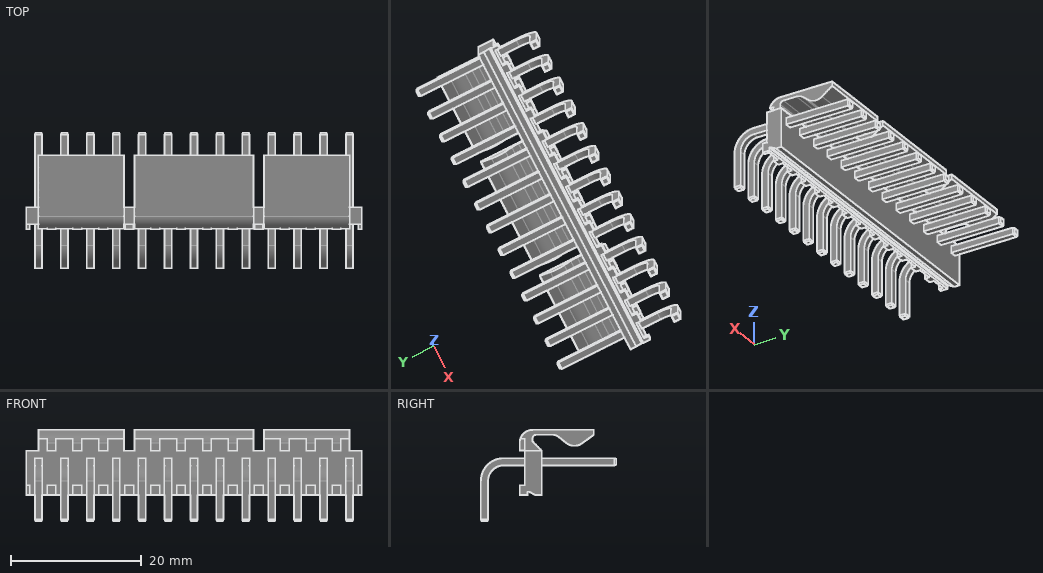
import cadquery as cq


pin_count = 13
pitch = 3.96
end_margin = 1.905
row_span = (pin_count - 1) * pitch
body_length = row_span + 2 * end_margin

wall_depth = 2.63
wall_top = 1.7
wall_bottom = -5.1
notch_front = 0.46
notch_flat = 0.25
notch_back = 1.65
notch_height = 0.5

tab_width = 1.35
tab_depth = 0.77
tab_height = 1.55

arm_top = 4.9
arm_tip = 10.58
arm_thickness = 0.77
tip_thickness = 0.8
latch_gap = 1.55
gap_centre = 2.5 * pitch
neck_depth = 1.24
neck_slope_top = wall_top + wall_depth - neck_depth
neck_inner_radius = 0.55
shoulder_radius = 2.0
shoulder_drop = 1.4
bump_apex_y = 7.54
bump_apex_drop = 2.98
bump_root_y = 4.78
bump_apex_radius = 1.96
bump_root_radius = 1.8

pin_width = 1.14
pin_rear = 14.01
pin_front = -6.7
pin_bottom = -9.08
bend_inner_radius = 2.36
bend_outer_radius = bend_inner_radius + pin_width
point_length = 0.3
point_inset = 0.13

pin_positions = [i * pitch - row_span / 2 for i in range(pin_count)]
tab_positions = [(i - pin_count / 2) * pitch for i in range(pin_count + 1)]
side_latch_outer = row_span / 2
side_latch_inner = gap_centre + latch_gap / 2
middle_latch_half = gap_centre - latch_gap / 2
latch_ranges = [
    (-side_latch_outer, -side_latch_inner),
    (-middle_latch_half, middle_latch_half),
    (side_latch_inner, side_latch_outer),
]


def profile(x_start):
    """Sketch plane whose axes are the part's Y and Z, placed at x_start."""
    return cq.Workplane("YZ", origin=(x_start, 0, 0))


def make_wall():
    """Housing wall with a groove along its underside."""
    notch_top = wall_bottom + notch_height
    return (
        profile(-body_length / 2)
        .moveTo(0, wall_top)
        .lineTo(wall_depth, wall_top)
        .lineTo(wall_depth, wall_bottom)
        .lineTo(notch_back, wall_bottom)
        .lineTo(notch_front + notch_flat, notch_top)
        .lineTo(notch_front, notch_top)
        .lineTo(notch_front, wall_bottom)
        .lineTo(0, wall_bottom)
        .close()
        .extrude(body_length)
    )


def make_lower_tab(x_centre):
    """Tab at the foot of the wall; the two end tabs are cut off by the wall's ends."""
    x_start = max(x_centre - tab_width / 2, -body_length / 2)
    x_end = min(x_centre + tab_width / 2, body_length / 2)
    return (
        profile(x_start)
        .moveTo(0, wall_bottom)
        .lineTo(0, wall_bottom + tab_height)
        .lineTo(-tab_depth, wall_bottom + tab_height)
        .lineTo(-tab_depth, wall_bottom)
        .close()
        .extrude(x_end - x_start)
    )


def make_arm(x_start, x_end):
    """Latch arm above the wall: neck, arm and a rounded locking bump near the tip."""
    width = x_end - x_start
    arm_underside = arm_top - arm_thickness
    arm = (
        profile(x_start)
        .moveTo(-tab_depth, arm_top)
        .lineTo(arm_tip, arm_top)
        .lineTo(arm_tip, arm_top - tip_thickness)
        .lineTo(bump_apex_y, arm_top - bump_apex_drop)
        .lineTo(bump_root_y, arm_underside)
        .lineTo(neck_depth, arm_underside)
        .lineTo(neck_depth, neck_slope_top)
        .lineTo(wall_depth, wall_top)
        .lineTo(0, wall_top)
        .lineTo(0, arm_top - shoulder_drop)
        .lineTo(-tab_depth, arm_top - shoulder_drop)
        .close()
        .extrude(width)
    )

    def round_corner(solid, y, z, radius):
        corner = cq.selectors.NearestToPointSelector((x_start + width / 2, y, z))
        return solid.edges("|X").edges(corner).fillet(radius)

    arm = round_corner(arm, bump_apex_y, arm_top - bump_apex_drop, bump_apex_radius)
    arm = round_corner(arm, bump_root_y, arm_underside, bump_root_radius)
    arm = round_corner(arm, neck_depth, arm_underside, neck_inner_radius)
    return arm.intersect(make_shoulder_envelope(x_start, width))


def make_shoulder_envelope(x_start, width):
    """Block around a latch whose front upper edge is the shoulder round."""
    return (
        profile(x_start)
        .moveTo(-tab_depth, wall_top)
        .lineTo(-tab_depth, arm_top - shoulder_radius)
        .radiusArc((shoulder_radius - tab_depth, arm_top), shoulder_radius)
        .lineTo(arm_tip, arm_top)
        .lineTo(arm_tip, wall_top)
        .close()
        .extrude(width)
    )


def make_upper_tab(x_centre):
    """Tab that carries the shoulder round down to the top of the wall."""
    x_start = x_centre - tab_width / 2
    block = (
        profile(x_start)
        .moveTo(0, wall_top)
        .lineTo(-tab_depth, wall_top)
        .lineTo(-tab_depth, arm_top)
        .lineTo(0, arm_top)
        .close()
        .extrude(tab_width)
    )
    return block.intersect(make_shoulder_envelope(x_start, tab_width))


def make_latch(x_start, x_end):
    """One latch arm with the upper tabs that lie within its width."""
    latch = make_arm(x_start, x_end)
    for x in tab_positions:
        if x_start < x < x_end:
            latch = latch.union(make_upper_tab(x))
    return latch


def make_pin(x_centre):
    """Square pin bent downward at the front, with a blunt point at each end."""
    half = pin_width / 2
    straight_rear = pin_rear - point_length
    straight_bottom = pin_bottom + point_length
    bend_start = pin_front + bend_outer_radius
    bend_end = half - bend_outer_radius
    leg_back = pin_front + pin_width
    shaft = (
        profile(x_centre - half)
        .moveTo(straight_rear, half)
        .lineTo(bend_start, half)
        .radiusArc((pin_front, bend_end), -bend_outer_radius)
        .lineTo(pin_front, straight_bottom)
        .lineTo(leg_back, straight_bottom)
        .lineTo(leg_back, bend_end)
        .radiusArc((bend_start, -half), bend_inner_radius)
        .lineTo(straight_rear, -half)
        .close()
        .extrude(pin_width)
    )
    tip_width = pin_width - 2 * point_inset

    def add_point(solid, face):
        return (
            solid.faces(face)
            .workplane(centerOption="CenterOfMass")
            .rect(pin_width, pin_width)
            .workplane(offset=point_length)
            .rect(tip_width, tip_width)
            .loft(combine=True)
        )

    return add_point(add_point(shaft, ">Y"), "<Z")


result = make_wall()
for position in tab_positions:
    result = result.union(make_lower_tab(position))
for start, end in latch_ranges:
    result = result.union(make_latch(start, end))
for position in pin_positions:
    result = result.union(make_pin(position))